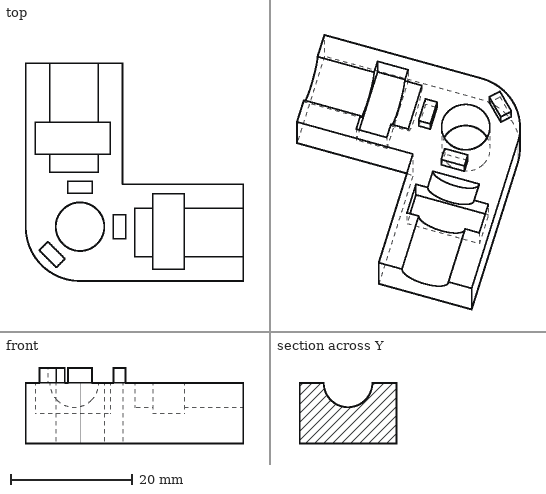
import cadquery as cq

arm_length = 36.0
arm_width = 16.02
body_height = 10.0
overall_height = 12.5
corner_radius = 9.0

hole_diameter = 8.0

channel_diameter = 8.0
channel_start = 18.0
channel_center = arm_width / 2

pocket_start = 21.0
pocket_width = 5.25
pocket_length = 12.45
pocket_depth = 5.0
pocket_offset = 0.2

tab_length = 4.0
tab_width = 2.0
tab_height = overall_height - body_height
tab_distance = 6.5
tab_angles = (0, 90, 225)


def make_body():
    """L-shaped block with a rounded outer corner and the through hole."""
    x_arm = cq.Workplane("XY").box(arm_length, arm_width, body_height, centered=False)
    y_arm = cq.Workplane("XY").box(arm_width, arm_length, body_height, centered=False)
    block = x_arm.union(y_arm).edges(cq.selectors.NearestToPointSelector((0, 0, body_height / 2)))
    hole = (
        cq.Workplane("XY")
        .center(corner_radius, corner_radius)
        .circle(hole_diameter / 2)
        .extrude(body_height)
    )
    return block.fillet(corner_radius).cut(hole)


def make_arm_recess():
    """Channel and cross pocket of the arm that runs along X."""
    channel = (
        cq.Workplane("YZ", origin=(channel_start, channel_center, body_height))
        .circle(channel_diameter / 2)
        .extrude(arm_length - channel_start)
    )
    pocket = (
        cq.Workplane("XY")
        .box(pocket_width, pocket_length, pocket_depth, centered=(False, True, False))
        .translate((pocket_start, channel_center + pocket_offset, body_height - pocket_depth))
    )
    return channel.union(pocket)


def make_tab(angle):
    """Tab standing on the top face, its long side facing the hole."""
    return (
        cq.Workplane("XY")
        .box(tab_width, tab_length, tab_height, centered=(True, True, False))
        .translate((tab_distance, 0, 0))
        .rotate((0, 0, 0), (0, 0, 1), angle)
        .translate((corner_radius, corner_radius, body_height))
    )


x_recess = make_arm_recess()
y_recess = x_recess.rotate((0, 0, 0), (0, 0, 1), 90).translate((arm_width, 0, 0))

result = make_body().cut(x_recess).cut(y_recess)
for tab_angle in tab_angles:
    result = result.union(make_tab(tab_angle))